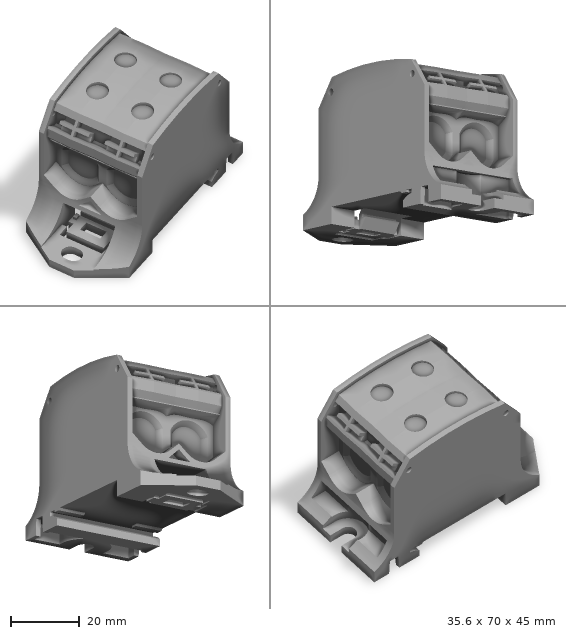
import cadquery as cq
import math

TOTAL_LENGTH = 70.0
WIDTH = 35.6
HEIGHT = 45.0
REAR_Y = TOTAL_LENGTH / 2
FRONT_Y = -TOTAL_LENGTH / 2

BLOCK_Y = 4.05
BLOCK_HALF = 23.5
SHOULDER_Z = 35.0
SHOULDER_HALF = 17.65
SHOULDER_TOP_Z = 43.4
WALL = 1.75
BAY_HALF = WIDTH / 2 - WALL
POLE_X = 7.8
HINGE_HALF = 18.05
HINGE_Z = 39.0
HINGE_DIAMETER = 2.1

FOOT_ARC = 11.9
FOOT_ARC_Z = 15.4
FOOT_PLATE = 2.95
TIP_HALF = 4.2
FOOT_CORNER_Y = -26.45
POCKET_ROOF = 11.3

RAIL_Z = 5.05
RAIL_FRONT_Y = -13.85
RAIL_REAR_Y = 18.1

ENTRY_FACE = 16.95
ENTRY_Z = 20.8
ENTRY_TROUGH = 7.3
TROUGH_SLOPE = math.radians(40)
TROUGH_OVERRUN = 0.7
FUNNEL_DEPTH = 1.5
FUNNEL_MOUTH = (7.2, 6.45)
FUNNEL_FLOOR = (5.6, 4.9)
HOOD_LIP = 20.6
HOOD_LIP_Z = 30.2
HOOD_TOP_Z = 28.85
HOOD_CUSP_Z = 27.85
HOOD_FLAT = 5.4

SEAT_Z = 30.45
COVER_GAP = 0.2
COVER_HALF = 22.05
COVER_FACE_LOW = 32.5
COVER_FACE_TOP = 35.85
COVER_EDGE_HALF = 17.3
COVER_EDGE_Z = 42.35
COVER_TOP_Z = 44.05
CREST = 0.2
SCREW_DIAMETER = 6.65
SCREW_HALF = 7.55
SCREW_FLOOR_Z = 42.65
SLOPE_CLEARANCE = 0.7
MARKER_LOW_Z = 36.55
MARKER_HIGH_Z = 40.55
MARKER_FLOOR_DEPTH = 4.2
MARKER_ROOF_DEPTH = 1.8
MARKER_POST = 0.85
MARKER_BLOCK_HALF = 5.05
MARKER_BAR_Z = (38.1, 38.9)
MARKER_UPPER_DEPTH = 3.5
MARKER_LOWER_DEPTH = 2.6

LATCH_HALF = 6.45
FOOT_POCKET_HALF = 8.95
FOOT_POCKET_BACK = -9.1
LATCH_SLOT_HALF = 7.3
LATCH_SLOT_FRONT = -24.7
PLATE_END_Y = -20.8


def box(x, y, z):
    """Box from three (low, high) ranges."""
    return cq.Workplane("XY").box(
        x[1] - x[0], y[1] - y[0], z[1] - z[0], centered=False
    ).translate((x[0], y[0], z[0]))


def side_prism(points, half_width):
    """Extrude a closed (y, z) outline symmetrically about x = 0."""
    return cq.Workplane("YZ").polyline(points).close().extrude(half_width, both=True)


def at_both_ends(solid):
    """The solid together with its mirror image about the middle of the block."""
    return solid.union(solid.mirror("XZ", (0, BLOCK_Y, 0)))


def arc_point(y, centre_y):
    """Point of a foot arc at the given y."""
    return (y, FOOT_ARC_Z - math.sqrt(FOOT_ARC**2 - (y - centre_y) ** 2))


def housing_blank():
    front_face = BLOCK_Y - BLOCK_HALF
    rear_face = BLOCK_Y + BLOCK_HALF
    front_centre = front_face - FOOT_ARC
    rear_centre = rear_face + FOOT_ARC
    arc_low = FOOT_ARC_Z - FOOT_ARC
    return (
        cq.Workplane("YZ")
        .moveTo(FRONT_Y, 0)
        .lineTo(FRONT_Y, arc_low)
        .lineTo(front_centre, arc_low)
        .threePointArc(arc_point((front_face + front_centre) / 2, front_centre), (front_face, FOOT_ARC_Z))
        .lineTo(front_face, SHOULDER_Z)
        .lineTo(BLOCK_Y - SHOULDER_HALF, SHOULDER_TOP_Z)
        .threePointArc((BLOCK_Y, HEIGHT), (BLOCK_Y + SHOULDER_HALF, SHOULDER_TOP_Z))
        .lineTo(rear_face, SHOULDER_Z)
        .lineTo(rear_face, FOOT_ARC_Z)
        .threePointArc(arc_point((rear_face + REAR_Y) / 2, rear_centre), arc_point(REAR_Y, rear_centre))
        .lineTo(REAR_Y, 0)
        .close()
        .extrude(WIDTH / 2, both=True)
    )


def rail_channel():
    """Rail space with the fixed rear claw and the small stops on its roof."""
    claw_tip_z = 2.2
    claw_root = (21.8, 3.8)
    claw_bulge = (19.75, 3.2)
    stop_z = 4.4
    stop_rear_y = 19.5
    stop_profile = [(16.7, RAIL_Z), (17.35, stop_z), (stop_rear_y, stop_z), (stop_rear_y, RAIL_Z)]
    stops = side_prism(stop_profile, WIDTH / 2).cut(side_prism(stop_profile, FOOT_POCKET_HALF))
    channel = (
        cq.Workplane("YZ")
        .moveTo(RAIL_FRONT_Y, 0)
        .lineTo(RAIL_FRONT_Y, RAIL_Z)
        .lineTo(claw_root[0], RAIL_Z)
        .lineTo(*claw_root)
        .threePointArc(claw_bulge, (RAIL_REAR_Y, claw_tip_z))
        .lineTo(RAIL_REAR_Y, 0)
        .close()
        .extrude(WIDTH / 2, both=True)
    )
    return channel.cut(stops)


def front_foot_corners():
    corner = (
        cq.Workplane("XY")
        .polyline([(WIDTH / 2, FOOT_CORNER_Y), (WIDTH / 2, FRONT_Y), (TIP_HALF, FRONT_Y)])
        .close()
        .extrude(FOOT_ARC_Z)
    )
    return corner.union(corner.mirror("YZ"))


def front_foot_pocket():
    """Space around the latch, with the slot in the plate and the screw hole."""
    hole_y = -29.5
    hole_length = 6.6
    hole_width = 5.3
    pocket_x = (-FOOT_POCKET_HALF, FOOT_POCKET_HALF)
    slot_x = (-LATCH_SLOT_HALF, LATCH_SLOT_HALF)
    pocket = box(pocket_x, (FRONT_Y, FOOT_POCKET_BACK), (FOOT_PLATE, POCKET_ROOF))
    opening = box(pocket_x, (PLATE_END_Y, FOOT_POCKET_BACK), (0, POCKET_ROOF))
    slot = box(slot_x, (LATCH_SLOT_FRONT, PLATE_END_Y), (0, FOOT_PLATE))
    hole = cq.Workplane("XY").center(0, hole_y).slot2D(hole_length, hole_width).extrude(FOOT_PLATE)
    return pocket.union(opening).union(slot).union(hole)


def latch():
    """Spring arm with rail hook, pull tab, screwdriver window and two ears."""
    tab_y = -22.4
    tab_top = 2.8
    step = (-14.7, 4.35)
    arm_top_y = -10.15
    arm_back_y = -13.3
    hook = (-11.7, 3.35)
    shoulder_half = 8.1
    shoulder_y = -18.6
    arm_thickness = arm_back_y - step[0]
    profile = [
        (tab_y, 0), (tab_y, tab_top), (step[0], tab_top), step,
        (arm_top_y, POCKET_ROOF), (arm_top_y + arm_thickness, POCKET_ROOF),
        (arm_back_y, step[1]), (arm_back_y, hook[1]), hook, (RAIL_FRONT_Y, 0),
    ]
    window_half = 3.5
    window_y = (-19.6, -16.25)
    ear_width = 1.2
    ear_y = (-17.0, -15.25)
    ear_height = 1.0
    window = box((-window_half, window_half), window_y, (0, tab_top))
    arm = side_prism(profile, LATCH_HALF)
    shoulders = box((-shoulder_half, shoulder_half), (shoulder_y, step[0]), (0, tab_top))
    arm = arm.union(shoulders)
    ear = box((LATCH_HALF, LATCH_HALF + ear_width), ear_y, (tab_top, tab_top + ear_height))
    return arm.union(ear).union(ear.mirror("YZ")).cut(window)


def rear_foot_cuts():
    """Open screw slot with its head clearance, side pockets and hollow underside."""
    slot_y = 30.45
    slot_radius = 2.6
    head_radius = 6.0
    pocket_half = 15.25
    pocket_y = (26.6, 31.85)
    pocket_floor = 5.75
    groove = [(29.5, 0), (29.2, RAIL_Z), (26.0, RAIL_Z), (25.7, 0)]
    hollow_half = 16.2
    hollow_y = (24.5, 32.55)
    boss_radius = 7.55

    def open_slot(radius, low, high):
        straight = box((-radius, radius), (slot_y, REAR_Y), (low, high))
        end = cq.Workplane("XY", (0, slot_y, low)).circle(radius).extrude(high - low)
        return straight.union(end)

    cuts = open_slot(slot_radius, 0, POCKET_ROOF)
    cuts = cuts.union(open_slot(head_radius, FOOT_PLATE, POCKET_ROOF))
    cuts = cuts.union(box((-pocket_half, pocket_half), pocket_y, (pocket_floor, POCKET_ROOF)))
    hollow = box((-hollow_half, hollow_half), hollow_y, (0, RAIL_Z))
    hollow = hollow.union(side_prism(groove, WIDTH / 2)).cut(open_slot(boss_radius, 0, RAIL_Z))
    return cuts.union(hollow)


def entry_plane(distance):
    """Drawing plane facing the front, at a distance from the block's middle."""
    return cq.Workplane("XZ", (0, BLOCK_Y - distance, 0))


def flatted_circle(plane, x, size):
    """Circle with two vertical flats, as a wire ready to loft."""
    radius, half = size
    rise = math.sqrt(radius**2 - half**2)
    return (
        plane.moveTo(x - half, ENTRY_Z - rise)
        .threePointArc((x, ENTRY_Z - radius), (x + half, ENTRY_Z - rise))
        .lineTo(x + half, ENTRY_Z + rise)
        .threePointArc((x, ENTRY_Z + radius), (x - half, ENTRY_Z + rise))
        .close()
        .wire()
        .val()
    )


def funnel(x):
    mouth = flatted_circle(entry_plane(ENTRY_FACE), x, FUNNEL_MOUTH)
    floor = flatted_circle(entry_plane(ENTRY_FACE - FUNNEL_DEPTH), x, FUNNEL_FLOOR)
    return cq.Workplane(cq.Solid.makeLoft([mouth, floor], True))


def trough(x, bay):
    """Rounded V below one wire entry, kept inside its bay (low x, high x)."""
    low_x, high_x = bay
    tangent_x = ENTRY_TROUGH * math.sin(TROUGH_SLOPE)
    tangent_z = ENTRY_Z - ENTRY_TROUGH * math.cos(TROUGH_SLOPE)

    def edge_z(edge_x):
        return tangent_z + (abs(edge_x - x) - tangent_x) * math.tan(TROUGH_SLOPE)

    return (
        entry_plane(ENTRY_FACE)
        .moveTo(low_x, ENTRY_Z)
        .lineTo(low_x, edge_z(low_x))
        .lineTo(x - tangent_x, tangent_z)
        .threePointArc((x, ENTRY_Z - ENTRY_TROUGH), (x + tangent_x, tangent_z))
        .lineTo(high_x, edge_z(high_x))
        .lineTo(high_x, ENTRY_Z)
        .close()
        .extrude(BLOCK_HALF - ENTRY_FACE + TROUGH_OVERRUN)
    )


def hood(x, bay):
    """Space above one trough: its roof rises towards the lip of the hood."""
    low_x, high_x = bay

    def outline(distance, cusp_z, top_z):
        roof = [(x + HOOD_FLAT, top_z), (x, top_z), (x - HOOD_FLAT, top_z), (low_x, cusp_z)]
        return (
            entry_plane(distance)
            .moveTo(low_x, ENTRY_Z)
            .lineTo(high_x, ENTRY_Z)
            .lineTo(high_x, cusp_z)
            .spline(roof, includeCurrent=True)
            .close()
            .wire()
            .val()
        )

    back = outline(ENTRY_FACE, HOOD_CUSP_Z, HOOD_TOP_Z)
    lip = outline(HOOD_LIP, HOOD_LIP_Z, HOOD_LIP_Z)
    return cq.Workplane(cq.Solid.makeLoft([back, lip], True))


def wire_entries():
    bay_x = (-BAY_HALF, BAY_HALF)
    cuts = box(bay_x, (BLOCK_Y - BLOCK_HALF, BLOCK_Y - HOOD_LIP), (ENTRY_Z, SEAT_Z))
    for x, bay in ((-POLE_X, (-BAY_HALF, 0)), (POLE_X, (0, BAY_HALF))):
        cuts = cuts.union(trough(x, bay)).union(hood(x, bay)).union(funnel(x))
    return cuts


def arrow_recess():
    """Triangular recess between the two front troughs."""
    half_base = 3.8
    base_z = 12.7
    apex_z = 16.0
    depth = 3.85
    return (
        entry_plane(BLOCK_HALF - depth)
        .polyline([(-half_base, base_z), (half_base, base_z), (0, apex_z)])
        .close()
        .extrude(2 * depth)
    )


def hinge_holes():
    points = [(BLOCK_Y - HINGE_HALF, HINGE_Z), (BLOCK_Y + HINGE_HALF, HINGE_Z)]
    return (
        cq.Workplane("YZ").pushPoints(points).circle(HINGE_DIAMETER / 2).extrude(WIDTH / 2, both=True)
    )


def make_housing():
    cover_space = box(
        (-BAY_HALF, BAY_HALF), (BLOCK_Y - BLOCK_HALF, BLOCK_Y + BLOCK_HALF), (SEAT_Z, HEIGHT)
    )
    body = housing_blank().cut(cover_space).cut(rail_channel())
    body = body.cut(front_foot_corners()).cut(front_foot_pocket()).cut(rear_foot_cuts())
    body = body.cut(at_both_ends(wire_entries())).cut(arrow_recess()).cut(hinge_holes())
    return body.union(latch())


def cover_section(x, inset):
    """Closed cover outline in the plane at x, shrunk by the inset at its faces and top."""
    half = COVER_HALF - inset
    edge_half = COVER_EDGE_HALF - inset
    return (
        cq.Workplane("YZ", (x, BLOCK_Y, 0))
        .moveTo(-HOOD_LIP + inset, SEAT_Z)
        .lineTo(-half, COVER_FACE_LOW)
        .lineTo(-half, COVER_FACE_TOP)
        .lineTo(-edge_half, COVER_EDGE_Z)
        .threePointArc((0, COVER_TOP_Z - inset), (edge_half, COVER_EDGE_Z))
        .lineTo(half, COVER_FACE_TOP)
        .lineTo(half, COVER_FACE_LOW)
        .lineTo(HOOD_LIP - inset, SEAT_Z)
        .close()
        .wire()
        .val()
    )


def cover_blank():
    """Four ruled panels: each pole crests in its middle and dips at its edges."""
    edge = BAY_HALF - COVER_GAP
    stations = [(-edge, CREST), (-POLE_X, 0), (0, CREST), (POLE_X, 0), (edge, CREST)]
    sections = [cover_section(x, inset) for x, inset in stations]
    blank = cq.Workplane(cq.Solid.makeLoft(sections[:2], True))
    for pair in zip(sections[1:], sections[2:]):
        blank = blank.union(cq.Workplane(cq.Solid.makeLoft(list(pair), True)))
    return blank


def screw_recesses():
    points = [(x, BLOCK_Y + y) for x in (-POLE_X, POLE_X) for y in (-SCREW_HALF, SCREW_HALF)]
    return (
        cq.Workplane("XY", (0, 0, SCREW_FLOOR_Z))
        .pushPoints(points)
        .circle(SCREW_DIAMETER / 2)
        .extrude(HEIGHT - SCREW_FLOOR_Z)
    )


def slope_point(z, depth):
    """Point at the given depth, measured square to the front slope from its height z."""
    run = COVER_HALF - COVER_EDGE_HALF
    rise = COVER_EDGE_Z - COVER_FACE_TOP
    length = math.hypot(run, rise)
    surface_y = BLOCK_Y - COVER_HALF + (z - COVER_FACE_TOP) * run / rise
    return (surface_y + depth * rise / length, z - depth * run / length)


def marker_slot(low_z, high_z, depth, half_width):
    """Slot sunk square into the front slope between two heights."""
    return side_prism(
        [
            slope_point(low_z, -SLOPE_CLEARANCE), slope_point(high_z, -SLOPE_CLEARANCE),
            slope_point(high_z, depth), slope_point(low_z, depth),
        ],
        half_width,
    )


def marker_channel():
    """Undercut channel in the front slope; each pole keeps a block with two slots and a post."""
    low_out = slope_point(MARKER_LOW_Z, -SLOPE_CLEARANCE)
    high_out = slope_point(MARKER_HIGH_Z, -SLOPE_CLEARANCE)
    low_in = slope_point(MARKER_LOW_Z, MARKER_FLOOR_DEPTH)
    high_in = slope_point(MARKER_HIGH_Z, MARKER_ROOF_DEPTH)
    back_low = (high_in[0], low_in[1])
    outline = [low_out, high_out, high_in, back_low, low_in]
    bar_low, bar_high = MARKER_BAR_Z
    channel = side_prism(outline, BAY_HALF)
    block = side_prism(outline, MARKER_BLOCK_HALF)
    post = marker_slot(MARKER_LOW_Z, MARKER_HIGH_Z, MARKER_UPPER_DEPTH, MARKER_POST / 2)
    upper = marker_slot(bar_high, MARKER_HIGH_Z, MARKER_UPPER_DEPTH, MARKER_BLOCK_HALF)
    lower = marker_slot(MARKER_LOW_Z, bar_low, MARKER_LOWER_DEPTH, MARKER_BLOCK_HALF)
    slots = upper.union(lower).cut(post)
    for x in (-POLE_X, POLE_X):
        channel = channel.cut(block.translate((x, 0, 0))).union(slots.translate((x, 0, 0)))
    return channel


def make_cover():
    return cover_blank().cut(screw_recesses()).cut(at_both_ends(marker_channel()))


housing = make_housing()
cover = make_cover()
result = cq.Compound.makeCompound([*housing.vals(), *cover.vals()])